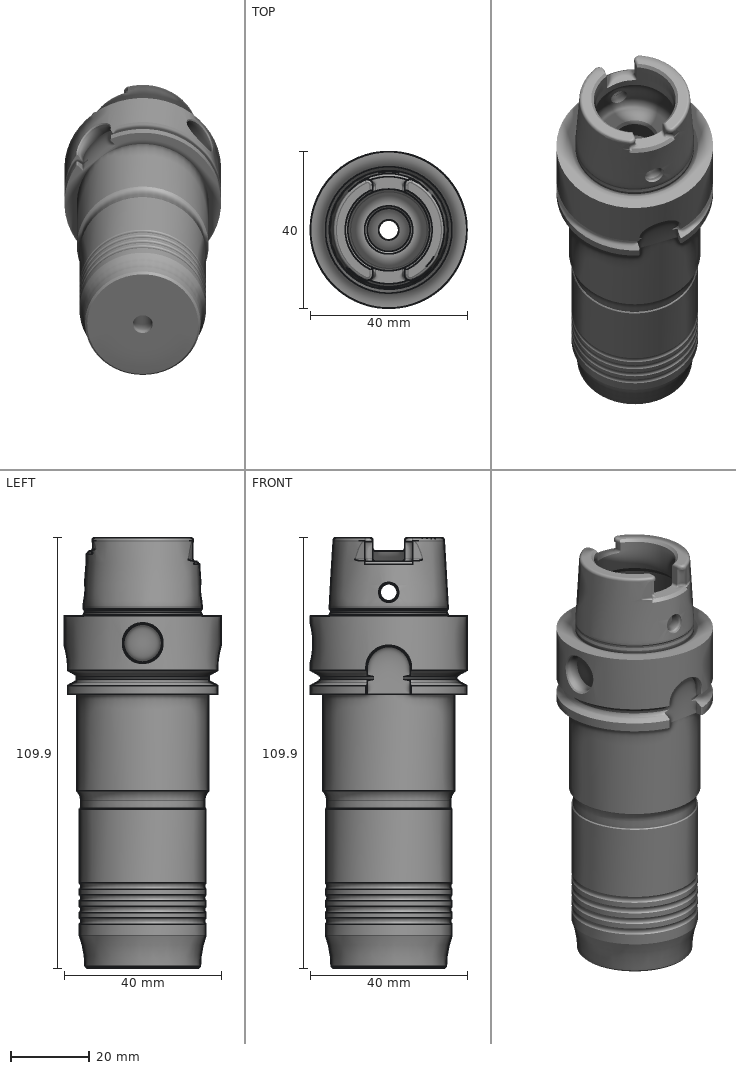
import cadquery as cq
import math

TOTAL_LENGTH = 109.9
FLANGE_HEIGHT = 20.0
SHANK_LENGTH = 20.0
FLANGE_TOP = TOTAL_LENGTH - SHANK_LENGTH
FLANGE_BOTTOM = FLANGE_TOP - FLANGE_HEIGHT

NOSE_RADIUS = 14.7
NOSE_CHAMFER = 0.5
NOSE_FLARE_TOP = 8.5
SLEEVE_RADIUS = 16.2
RING_COUNT = 4
RING_PITCH = 3.0
RING_WIDTH = 1.6
RING_DEPTH = 0.38
FIRST_RING_BOTTOM = 11.2

SLEEVE_TOP = 40.8
SLEEVE_CHAMFER = 0.2
RELIEF_RADIUS = 15.8
COVE_BOTTOM = 42.9
COVE_TOP = 45.3
BODY_RADIUS = 16.8

FLANGE_RADIUS = 20.0
GROOVE_CENTER_Z = 74.1
GROOVE_WIDTH = 4.0
GROOVE_SHOULDER_WIDTH = 2.1
GROOVE_SHOULDER_RADIUS = 18.2
GROOVE_FLOOR_WIDTH = 0.7
GROOVE_FLOOR_RADIUS = 17.4

FACE_RELIEF_RADIUS = 16.2
FACE_RELIEF_DEPTH = 0.4
NECK_RADIUS = 14.8
NECK_FOOT_RADIUS = 15.2
NECK_FOOT_TOP = FLANGE_TOP + 0.3
NECK_BOTTOM = FLANGE_TOP + 1.0
NECK_TOP = FLANGE_TOP + 1.4

TAPER_BASE_RADIUS = 15.2
TAPER_TOP_RADIUS = 14.2
TAPER_RELIEF_Z = NECK_TOP + 0.4
TAPER_BASE_Z = TAPER_RELIEF_Z + 0.4
RIM_ROUND = 0.8
RIM_Z = TOTAL_LENGTH - RIM_ROUND
RIM_OVERLAP = 0.3

BORE_RADIUS = 10.4
BORE_CHAMFER = 0.7
BORE_LIP_DEPTH = 8.0
CHAMBER_RADIUS = 11.9
CHAMBER_FILLET = 2.1
BORE_DEPTH = 17.4
COUNTERBORE_RADIUS = 5.5
COUNTERBORE_CHAMFER = 0.7
COUNTERBORE_DEPTH = 5.5
THROUGH_RADIUS = 2.5

SLOT_HALF_WIDTH = 4.1
SLOT_CORNER_RADIUS = 1.4
SLOT_FLOOR_FILLET = 0.7
SLOT_EDGE_CHAMFER = 0.8
SLOT_EXIT_RUN = 5.5
FRONT_SLOT_DEPTH = 6.0
REAR_SLOT_DEPTH = 3.4

CORNER_CENTER_X = SLOT_HALF_WIDTH + SLOT_CORNER_RADIUS
CORNER_CENTER_DISTANCE = TAPER_TOP_RADIUS - SLOT_CORNER_RADIUS
CORNER_CENTER_Y = math.sqrt(CORNER_CENTER_DISTANCE**2 - CORNER_CENTER_X**2)
CORNER_LEAN = math.asin(CORNER_CENTER_X / CORNER_CENTER_DISTANCE)
CORNER_END_X = TAPER_TOP_RADIUS * math.sin(CORNER_LEAN)
CORNER_END_Y = TAPER_TOP_RADIUS * math.cos(CORNER_LEAN)

CROSS_HOLE_RADIUS = 2.2
CROSS_HOLE_CHAMFER = 0.3
CROSS_HOLE_MOUTH_INSET = 0.8
CROSS_HOLE_Z = TOTAL_LENGTH - 14.0

KEYWAY_HALF_WIDTH = 5.5
KEYWAY_ARC_Z = 76.6
KEYWAY_FLOOR_Y = 16.9
POCKET_RADIUS = 4.8
POCKET_Z = 83.0
POCKET_DEPTH = 4.4
MOUTH_CHAMFER = 0.3

EDGE_TOLERANCE = 0.001
EDGE_SAMPLES = [0, 0.3, 1]


def turned_body():
    """Solid of revolution carrying every outer diameter."""
    flare_rise = NOSE_FLARE_TOP - NOSE_CHAMFER
    flare_run = SLEEVE_RADIUS - NOSE_RADIUS
    flare_radius = (flare_rise**2 + flare_run**2) / (2 * flare_run)
    cove_rise = COVE_TOP - COVE_BOTTOM
    cove_run = BODY_RADIUS - RELIEF_RADIUS
    cove_radius = (cove_rise**2 + cove_run**2) / (2 * cove_run)

    outline = (
        cq.Workplane("XZ")
        .lineTo(NOSE_RADIUS - NOSE_CHAMFER, 0)
        .lineTo(NOSE_RADIUS, NOSE_CHAMFER)
        .radiusArc((SLEEVE_RADIUS, NOSE_FLARE_TOP), flare_radius)
    )
    for i in range(RING_COUNT):
        bottom = FIRST_RING_BOTTOM + i * RING_PITCH
        outline = ring_groove(outline.lineTo(SLEEVE_RADIUS, bottom), bottom)
    outline = (
        outline.lineTo(SLEEVE_RADIUS, SLEEVE_TOP - SLEEVE_CHAMFER)
        .lineTo(SLEEVE_RADIUS - SLEEVE_CHAMFER, SLEEVE_TOP)
        .lineTo(RELIEF_RADIUS, SLEEVE_TOP)
        .lineTo(RELIEF_RADIUS, COVE_BOTTOM)
        .radiusArc((BODY_RADIUS, COVE_TOP), cove_radius)
        .lineTo(BODY_RADIUS, FLANGE_BOTTOM)
        .lineTo(FLANGE_RADIUS, FLANGE_BOTTOM)
        .lineTo(FLANGE_RADIUS, GROOVE_CENTER_Z - GROOVE_WIDTH / 2)
        .lineTo(GROOVE_SHOULDER_RADIUS, GROOVE_CENTER_Z - GROOVE_SHOULDER_WIDTH / 2)
        .lineTo(GROOVE_FLOOR_RADIUS, GROOVE_CENTER_Z - GROOVE_FLOOR_WIDTH / 2)
        .lineTo(GROOVE_FLOOR_RADIUS, GROOVE_CENTER_Z + GROOVE_FLOOR_WIDTH / 2)
        .lineTo(GROOVE_SHOULDER_RADIUS, GROOVE_CENTER_Z + GROOVE_SHOULDER_WIDTH / 2)
        .lineTo(FLANGE_RADIUS, GROOVE_CENTER_Z + GROOVE_WIDTH / 2)
        .lineTo(FLANGE_RADIUS, FLANGE_TOP)
        .lineTo(FACE_RELIEF_RADIUS, FLANGE_TOP)
        .lineTo(NECK_FOOT_RADIUS, FLANGE_TOP - FACE_RELIEF_DEPTH)
        .lineTo(NECK_FOOT_RADIUS, NECK_FOOT_TOP)
        .lineTo(NECK_RADIUS, NECK_BOTTOM)
        .lineTo(NECK_RADIUS, NECK_TOP)
        .lineTo(TAPER_BASE_RADIUS, TAPER_RELIEF_Z)
        .lineTo(TAPER_BASE_RADIUS, TAPER_BASE_Z)
        .lineTo(TAPER_TOP_RADIUS, RIM_Z)
        .lineTo(0, RIM_Z)
        .close()
    )
    return outline.revolve(360, (0, 0, 0), (0, 1, 0))


def ring_groove(outline, bottom):
    """Extend the outline upward over one shallow round groove."""
    half = RING_WIDTH / 2
    radius = (half**2 + RING_DEPTH**2) / (2 * RING_DEPTH)
    deepest = (SLEEVE_RADIUS - RING_DEPTH, bottom + half)
    return outline.radiusArc(deepest, radius).radiusArc((SLEEVE_RADIUS, bottom + RING_WIDTH), radius)


def bore():
    """Through bore: chamfered lip, wider chamber behind it, counterbore and small hole."""
    floor_z = TOTAL_LENGTH - BORE_DEPTH
    lip_z = TOTAL_LENGTH - BORE_LIP_DEPTH
    undercut = CHAMBER_RADIUS - BORE_RADIUS
    counterbore_floor_z = floor_z - COUNTERBORE_DEPTH
    return (
        cq.Workplane("XZ")
        .lineTo(THROUGH_RADIUS, 0)
        .lineTo(THROUGH_RADIUS, counterbore_floor_z)
        .lineTo(COUNTERBORE_RADIUS, counterbore_floor_z)
        .lineTo(COUNTERBORE_RADIUS, floor_z - COUNTERBORE_CHAMFER)
        .lineTo(COUNTERBORE_RADIUS + COUNTERBORE_CHAMFER, floor_z)
        .lineTo(CHAMBER_RADIUS - CHAMBER_FILLET, floor_z)
        .radiusArc((CHAMBER_RADIUS, floor_z + CHAMBER_FILLET), -CHAMBER_FILLET)
        .lineTo(CHAMBER_RADIUS, lip_z - undercut)
        .lineTo(BORE_RADIUS, lip_z)
        .lineTo(BORE_RADIUS, TOTAL_LENGTH - BORE_CHAMFER)
        .lineTo(BORE_RADIUS + BORE_CHAMFER, TOTAL_LENGTH)
        .lineTo(0, TOTAL_LENGTH)
        .close()
        .revolve(360, (0, 0, 0), (0, 1, 0))
    )


def slot_footprint(floor_z):
    """Slot plan toward -Y: straight walls that round outward and leave tangent to the rim."""
    exit_x = CORNER_END_X + SLOT_EXIT_RUN * math.cos(CORNER_LEAN)
    exit_y = CORNER_END_Y - SLOT_EXIT_RUN * math.sin(CORNER_LEAN)
    return (
        cq.Workplane("XY", origin=(0, 0, floor_z))
        .moveTo(-SLOT_HALF_WIDTH, 0)
        .lineTo(-SLOT_HALF_WIDTH, -CORNER_CENTER_Y)
        .radiusArc((-CORNER_END_X, -CORNER_END_Y), -SLOT_CORNER_RADIUS)
        .lineTo(-exit_x, -exit_y)
        .lineTo(-exit_x, -FLANGE_RADIUS)
        .lineTo(exit_x, -FLANGE_RADIUS)
        .lineTo(exit_x, -exit_y)
        .lineTo(CORNER_END_X, -CORNER_END_Y)
        .radiusArc((SLOT_HALF_WIDTH, -CORNER_CENTER_Y), -SLOT_CORNER_RADIUS)
        .lineTo(SLOT_HALF_WIDTH, 0)
        .close()
    )


def slot_cutter(depth):
    """Drive slot toward -Y with rounded floor corners and a chamfered outer floor edge."""
    floor_z = TOTAL_LENGTH - depth
    channel = slot_footprint(floor_z).extrude(depth).faces("<Z").edges().fillet(SLOT_FLOOR_FILLET)
    rim_slope = (TAPER_BASE_RADIUS - TAPER_TOP_RADIUS) / (RIM_Z - TAPER_BASE_Z)
    floor_edge_radius = TAPER_TOP_RADIUS + rim_slope * depth - SLOT_EDGE_CHAMFER
    bevel_size = 2 * SLOT_EDGE_CHAMFER
    bevel = (
        cq.Workplane("XZ")
        .moveTo(floor_edge_radius, floor_z)
        .lineTo(floor_edge_radius + bevel_size, floor_z)
        .lineTo(floor_edge_radius + bevel_size, floor_z - bevel_size)
        .close()
        .revolve(360, (0, 0, 0), (0, 1, 0))
    )
    bevel_reach = (
        cq.Workplane("XY", origin=(0, 0, floor_z - bevel_size))
        .center(0, -FLANGE_RADIUS / 2)
        .rect(2 * CORNER_END_X, FLANGE_RADIUS)
        .extrude(bevel_size)
    )
    return channel.union(bevel.intersect(bevel_reach))


def rim_lug():
    """Rounded rim segment on the +X side, between the two drive slots."""
    return (
        cq.Workplane("XY", origin=(0, 0, RIM_Z - RIM_OVERLAP))
        .moveTo(SLOT_HALF_WIDTH, -CORNER_CENTER_Y)
        .radiusArc((CORNER_END_X, -CORNER_END_Y), -SLOT_CORNER_RADIUS)
        .threePointArc((TAPER_TOP_RADIUS, 0), (CORNER_END_X, CORNER_END_Y))
        .radiusArc((SLOT_HALF_WIDTH, CORNER_CENTER_Y), -SLOT_CORNER_RADIUS)
        .close()
        .extrude(RIM_ROUND + RIM_OVERLAP)
        .faces(">Z")
        .edges()
        .fillet(RIM_ROUND)
    )


def half_turn(shape):
    """The shape turned to the opposite side of the axis."""
    return shape.rotate((0, 0, 0), (0, 0, 1), 180)


def cross_hole():
    """Hole along Y through the shank, with bevelled mouths on both sides."""
    reach = TAPER_BASE_RADIUS
    mouth_radius = CROSS_HOLE_RADIUS + CROSS_HOLE_CHAMFER
    mouth_y = TAPER_BASE_RADIUS - CROSS_HOLE_MOUTH_INSET
    half_profile = (
        cq.Workplane("XY", origin=(0, 0, CROSS_HOLE_Z))
        .lineTo(CROSS_HOLE_RADIUS, 0)
        .lineTo(CROSS_HOLE_RADIUS, mouth_y - CROSS_HOLE_CHAMFER)
        .lineTo(mouth_radius, mouth_y)
        .lineTo(mouth_radius, reach)
        .lineTo(0, reach)
        .close()
    )
    half = half_profile.revolve(360, (0, 0, 0), (0, 1, 0))
    return half.union(half_turn(half))


def keyway():
    """Round-topped keyway in the -Y side of the flange, open toward the body."""
    height = KEYWAY_ARC_Z - FLANGE_BOTTOM
    return (
        cq.Workplane("XZ", origin=(0, -KEYWAY_FLOOR_Y, FLANGE_BOTTOM))
        .moveTo(-KEYWAY_HALF_WIDTH, 0)
        .lineTo(-KEYWAY_HALF_WIDTH, height)
        .threePointArc((0, height + KEYWAY_HALF_WIDTH), (KEYWAY_HALF_WIDTH, height))
        .lineTo(KEYWAY_HALF_WIDTH, 0)
        .close()
        .extrude(FLANGE_RADIUS)
    )


def pocket():
    """Flat-floored round pocket in the -X side of the flange."""
    return (
        cq.Workplane("YZ", origin=(-FLANGE_RADIUS, 0, POCKET_Z))
        .circle(POCKET_RADIUS)
        .extrude(POCKET_DEPTH)
    )


def is_mouth_edge(edge):
    """True for a cutout edge on the flange rim; rim end circles and the +X seam line are excluded."""
    points = edge.positions(EDGE_SAMPLES)
    on_rim = all(abs(math.hypot(p.x, p.y) - FLANGE_RADIUS) < EDGE_TOLERANCE for p in points)
    return on_rim and edge.geomType() != "CIRCLE" and edge.Center().x < FLANGE_RADIUS - EDGE_TOLERANCE


def cut_flange(part):
    """Cut both keyways and the pocket, then chamfer where they open on the flange rim."""
    part = part.cut(keyway()).cut(half_turn(keyway())).cut(pocket())
    mouths = [edge for edge in part.edges().vals() if is_mouth_edge(edge)]
    return part.newObject(mouths).chamfer(MOUTH_CHAMFER)


lug = rim_lug()
result = (
    cut_flange(turned_body())
    .cut(slot_cutter(FRONT_SLOT_DEPTH))
    .cut(half_turn(slot_cutter(REAR_SLOT_DEPTH)))
    .union(lug)
    .union(half_turn(lug))
    .cut(bore())
    .cut(cross_hole())
)